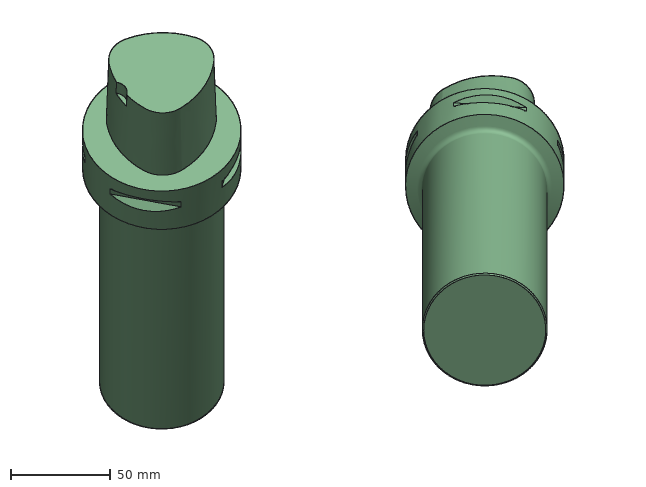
import cadquery as cq
import math

overall_length = 248.0
shank_length = 48.0
flange_top = overall_length - shank_length

shaft_radius = 63.0 / 2
flange_radius = 80.0 / 2
flange_height = 30.4
flange_bottom = flange_top - flange_height
shaft_chamfer = 0.7
neck_length = 4.6
neck_slope_angle = 14.0

lobe_count = 3
lobe_pitch = 360.0 / lobe_count
lobe_reach = 29.6
side_reach = 25.3
lobe_center = 13.5
taper_angle = math.degrees(math.atan(1 / 40))

keyway_bottom_reach = 21.7
keyway_height = 8.6
keyway_radius = 6.5

groove_count = 4
groove_floor_reach = 35.5
groove_floor_height = 4.0
groove_flank_angle = 30.0
groove_z = flange_top - 12.0


def polar(radius, angle):
    """Point at a radius and an angle in degrees."""
    return (
        radius * math.cos(math.radians(angle)),
        radius * math.sin(math.radians(angle)),
    )


def make_body():
    """Shaft and flange, joined by a concave neck."""
    slope = math.radians(neck_slope_angle)
    overhang = flange_radius - shaft_radius
    neck_radius = (neck_length - overhang * math.tan(slope)) / (
        math.cos(slope) - (1 - math.sin(slope)) * math.tan(slope)
    )
    neck_bottom = flange_bottom - neck_length
    arc_center_x = shaft_radius + neck_radius
    arc_end_angle = 90 + neck_slope_angle
    end_x, end_z = polar(neck_radius, arc_end_angle)
    middle_x, middle_z = polar(neck_radius, (180 + arc_end_angle) / 2)
    neck_arc_end = (arc_center_x + end_x, neck_bottom + end_z)
    neck_arc_middle = (arc_center_x + middle_x, neck_bottom + middle_z)
    profile = (
        cq.Workplane("XZ")
        .moveTo(0, 0)
        .lineTo(shaft_radius - shaft_chamfer, 0)
        .lineTo(shaft_radius, shaft_chamfer)
        .lineTo(shaft_radius, neck_bottom)
        .threePointArc(neck_arc_middle, neck_arc_end)
        .lineTo(flange_radius, flange_bottom)
        .lineTo(flange_radius, flange_top)
        .lineTo(0, flange_top)
        .close()
    )
    return profile.revolve(360, (0, 0, 0), (0, 1, 0))


def make_shank():
    """Tapered shank whose lobe and side arcs meet tangentially."""
    lobe_radius = lobe_reach - lobe_center
    reach_gap = side_reach - lobe_radius
    side_center = (lobe_center**2 - reach_gap**2) / (2 * reach_gap - lobe_center)

    side_center_x, side_center_y = polar(side_center, lobe_pitch / 2 + 180)
    joint_direction = math.degrees(math.atan2(-side_center_y, lobe_center - side_center_x))
    offset_x, offset_y = polar(lobe_radius, joint_direction)
    joint_reach = math.hypot(lobe_center + offset_x, offset_y)
    joint_angle = math.degrees(math.atan2(offset_y, lobe_center + offset_x))

    first_lobe = 90.0
    outline = cq.Workplane("XY", origin=(0, 0, flange_top))
    outline = outline.moveTo(*polar(joint_reach, first_lobe - joint_angle))
    for index in range(lobe_count):
        lobe = first_lobe + index * lobe_pitch
        lobe_end = polar(joint_reach, lobe + joint_angle)
        side_end = polar(joint_reach, lobe + lobe_pitch - joint_angle)
        outline = outline.threePointArc(polar(lobe_reach, lobe), lobe_end)
        outline = outline.threePointArc(polar(side_reach, lobe + lobe_pitch / 2), side_end)
    return outline.close().extrude(shank_length, taper=taper_angle)


def make_keyway():
    """Round-backed upright channel, open at the shank top and side."""
    return (
        cq.Workplane("XY", origin=(0, 0, overall_length - keyway_height))
        .center(0, -keyway_bottom_reach - keyway_radius)
        .circle(keyway_radius)
        .extrude(keyway_height)
    )


def make_groove():
    """Straight groove with a flat floor and flaring flanks, facing +X."""
    depth = flange_radius - groove_floor_reach
    floor_half = groove_floor_height / 2
    mouth_half = floor_half + depth * math.tan(math.radians(groove_flank_angle))
    return (
        cq.Workplane("XZ", origin=(0, 0, groove_z))
        .moveTo(groove_floor_reach, -floor_half)
        .lineTo(flange_radius, -mouth_half)
        .lineTo(flange_radius, mouth_half)
        .lineTo(groove_floor_reach, floor_half)
        .close()
        .extrude(flange_radius, both=True)
    )


result = make_body().union(make_shank()).cut(make_keyway())

groove_pitch = 360.0 / groove_count
for index in range(groove_count):
    groove_angle = (index + 0.5) * groove_pitch
    result = result.cut(make_groove().rotate((0, 0, 0), (0, 0, 1), groove_angle))